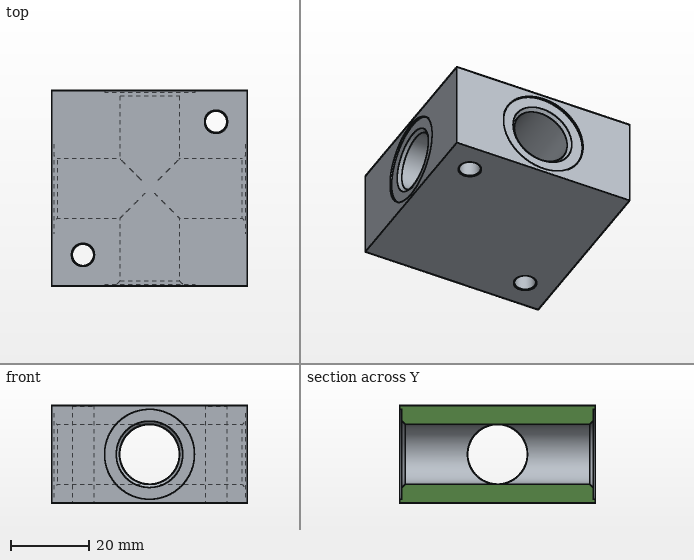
import cadquery as cq

side = 50.0
height = side / 2

port_diameter = 15.25
port_mouth_diameter = 17.0
spotface_diameter = 23.0
spotface_depth = 0.5

mount_diameter = 5.5
mount_mouth_diameter = 5.9
mount_offset = 17.0


def mouth_cone(plane, mouth_diameter, bore_diameter):
    """45 degree countersink that starts on the plane and narrows along its normal."""
    depth = (mouth_diameter - bore_diameter) / 2
    return (
        cq.Workplane(plane)
        .circle(mouth_diameter / 2)
        .workplane(offset=depth)
        .circle(bore_diameter / 2)
        .loft(ruled=True)
    )


def through_port():
    """Cutter for a port along Y, with a spotface and a countersink at each end."""
    bore = cq.Workplane("XZ").circle(port_diameter / 2).extrude(side / 2, both=True)
    seat = cq.Plane(origin=(0, -side / 2, 0), xDir=(1, 0, 0), normal=(0, 1, 0))
    spotface = cq.Workplane(seat).circle(spotface_diameter / 2).extrude(spotface_depth)
    cone = mouth_cone(seat, port_mouth_diameter, port_diameter).translate((0, spotface_depth, 0))
    end = spotface.union(cone)
    return bore.union(end).union(end.mirror("XZ"))


def mounting_hole(x, y):
    """Cutter for a vertical through hole, countersunk at the top and bottom."""
    bore = cq.Workplane("XY").circle(mount_diameter / 2).extrude(height / 2, both=True)
    bottom = cq.Plane(origin=(0, 0, -height / 2), xDir=(1, 0, 0), normal=(0, 0, 1))
    cone = mouth_cone(bottom, mount_mouth_diameter, mount_diameter)
    return bore.union(cone).union(cone.mirror("XY")).translate((x, y, 0))


result = cq.Workplane("XY").box(side, side, height)

for angle in (0, 90):
    result = result.cut(through_port().rotate((0, 0, 0), (0, 0, 1), angle))

for direction in (-1, 1):
    result = result.cut(mounting_hole(direction * mount_offset, direction * mount_offset))